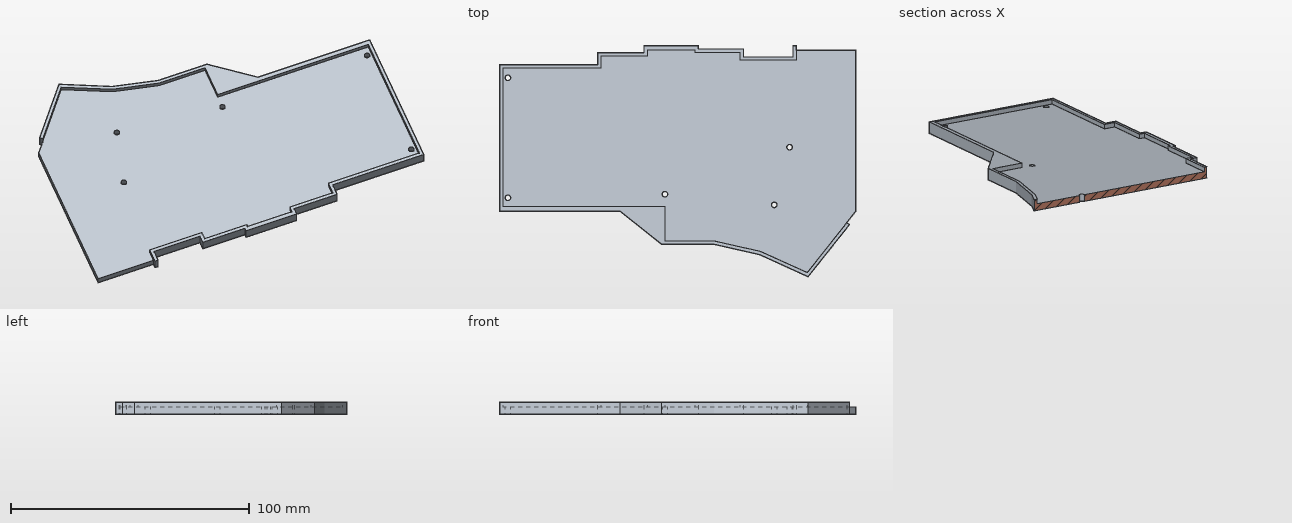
import cadquery as cq
import math

length = 149.2
width = 96.8
height = 5.0
floor_thickness = 3.1

wall = 1.42
rear_wall = 1.8
front_wall = 2.0

step_x = [41.0, 60.4, 83.2, 102.2]
step_y = [88.9, 94.0, width, 95.5, 92.2]
rear_rim_end_x = 124.2
floor_rear_y = width - rear_wall

shoulder_y = 27.5
gusset_start_x = 50.4
gusset_end_x = 67.9
front_y = 13.5
front_bend = (89.8, front_y)
lower_bend = (108.9, 9.2)
tip = (129.2, 0.0)
right_corner = (length, shoulder_y)

floor_front_y = front_y + wall
inner_front_bend = (90.0, floor_front_y)
inner_lower_bend = (109.2, lower_bend[1] + wall)
inner_tip = (128.9, 1.8)

right_rim_length = 26.7
slant = math.atan2(right_corner[1] - inner_tip[1], right_corner[0] - inner_tip[0])
rim_end_inner = (
    inner_tip[0] + right_rim_length * math.cos(slant),
    inner_tip[1] + right_rim_length * math.sin(slant),
)
rim_end_outer = (
    rim_end_inner[0] + wall * math.sin(slant),
    rim_end_inner[1] - wall * math.cos(slant),
)

hole_diameter = 2.2
left_hole_x = 3.5
hole_centers = [
    (left_hole_x, 83.4),
    (left_hole_x, 33.1),
    (69.2, 34.6),
    (121.4, 54.3),
    (115.0, 30.1),
]


def stepped_edge(x_start, x_steps, y_levels, x_end):
    """Corners of a staircase running from x_start to x_end."""
    x_bounds = [x_start] + x_steps + [x_end]
    points = []
    for index, y in enumerate(y_levels):
        points.append((x_bounds[index], y))
        points.append((x_bounds[index + 1], y))
    return points


def make_body():
    """Full-height plate with the outer outline."""
    outline = [(0, shoulder_y)]
    outline += stepped_edge(0, step_x, step_y, rear_rim_end_x - wall)
    outline += [
        (rear_rim_end_x - wall, width),
        (rear_rim_end_x, width),
        (rear_rim_end_x, floor_rear_y),
        (length, floor_rear_y),
        right_corner,
        rim_end_inner,
        rim_end_outer,
        tip,
        lower_bend,
        front_bend,
        (gusset_end_x, front_y),
        (gusset_start_x, shoulder_y),
    ]
    return cq.Workplane("XY").polyline(outline).close().extrude(height)


def make_pocket():
    """Space above the floor, open at the right end of the plate."""
    inner_x = [step_x[0] + wall, step_x[1] + wall, step_x[2] - wall, step_x[3] - wall]
    inner_y = [y - wall for y in step_y]
    inner_y[2] = floor_rear_y
    floor_front_x = gusset_end_x + wall
    outline = [(wall, shoulder_y + front_wall)]
    outline += stepped_edge(wall, inner_x, inner_y, rear_rim_end_x)
    outline += [
        (rear_rim_end_x, floor_rear_y),
        (length, floor_rear_y),
        right_corner,
        inner_tip,
        inner_lower_bend,
        inner_front_bend,
        (floor_front_x, floor_front_y),
        (floor_front_x, shoulder_y + front_wall),
    ]
    pocket = cq.Workplane("XY").workplane(offset=floor_thickness).polyline(outline).close()
    return pocket.extrude(height - floor_thickness)


def make_holes():
    """Drills through the floor."""
    return cq.Workplane("XY").pushPoints(hole_centers).circle(hole_diameter / 2).extrude(height)


result = make_body().cut(make_pocket()).cut(make_holes())